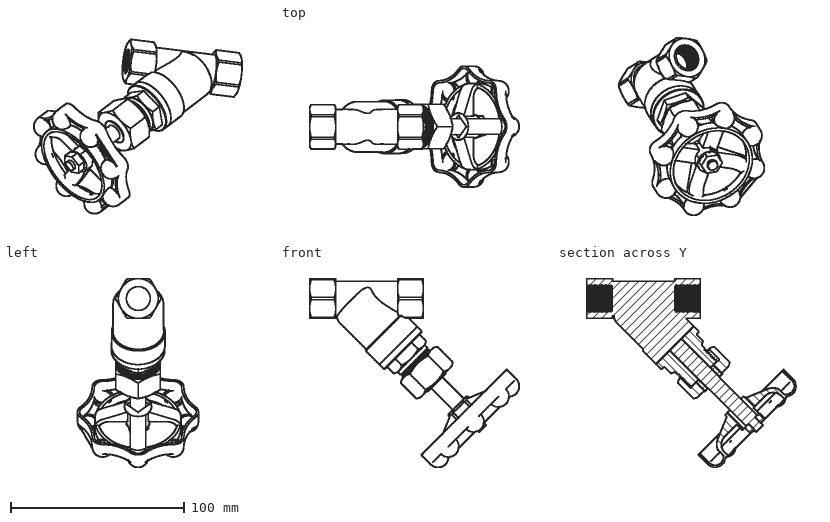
import cadquery as cq
import math

BRANCH_OFFSET = 6.3
STEM_OFFSET = 5.7
WHEEL_OFFSET = 6.7
SIDE_OFFSET = 0.18
HEX_CHAMFER_ANGLE = 30.0

PIPE_LENGTH = 65.8
PIPE_RADIUS = 10.0
END_HEX_LENGTH = 15.0
END_HEX_FLATS = 23.0
END_HEX_CORNER_FLAT = 1.3
PORT_CREST_RADIUS = 6.9
PORT_ROOT_RADIUS = 7.7
PORT_TURNS = 11
THREAD_PITCH = 1.3

CHAMBER_START = -5.7
CHAMBER_RADIUS = 14.7
CHAMBER_FILLET = 4.4
COLLAR_START = 20.6
COLLAR_STEP_LENGTH = 0.5
COLLAR_RADIUS = 15.5
COLLAR_END = 32.2

FLANGE_END = 36.3
FLANGE_CHAMFER = 0.4
BONNET_HEX_FLATS = 23.0
BONNET_HEX_END = 42.7
NECK_RADIUS = 11.0
NECK_ROOT_RADIUS = 10.2
NECK_THREAD_START = 45.2
NECK_TURNS = 8

GLAND_NUT_START = 47.3
GLAND_NUT_END = 62.5
GLAND_NUT_FLATS = 25.9
GLAND_NUT_MOUTH_CHAMFER = 0.6
GLAND_RADIUS = 7.3
GLAND_END = 63.1

STEM_RADIUS = 4.6
STEM_TIP_RADIUS = 2.9
STEM_TIP_END = 100.6

WASHER_START = 80.8
WASHER_THICKNESS = 1.6
WASHER_RADIUS = 7.9
WASHER_FILLET = 0.7
HUB_RADIUS = 6.9
HUB_END = 94.2

RIM_START = 86.2
RIM_END = 94.0
RIM_RADIUS = 35.0
RIM_WALL = 1.3
LOBE_COUNT = 8
LOBE_RADIUS = 6.0
VALLEY_RADIUS = 30.6

WEB_VALLEY = 5.5
WEB_THICKNESS = 0.5

RING_START = 92.4
RING_END = 98.8
RING_RADIUS = 25.0
RING_WALL = 1.9

SPOKE_COUNT = 4
SPOKE_WIDTH = 9.1
SPOKE_ROOT = 6.0
SPOKE_SHOULDER = 20.6
SPOKE_SHOULDER_AT = 87.7
SPOKE_SLOPE = 0.42
SPOKE_BOTTOM_AT = 89.6
SPOKE_BOTTOM_FILLET = 6.3

WHEEL_NUT_CORNERS = 12.8
WHEEL_NUT_END = 98.8
WHEEL_NUT_TURN = 47.5


def branch_location(offset, side=SIDE_OFFSET):
    """Place of a part built along Z that belongs on the branch, `offset` from the pipe centre."""
    shift = -offset * math.sqrt(0.5)
    return cq.Location(cq.Plane(origin=(shift, side, shift), xDir=(1, 0, 1), normal=(1, 0, -1)))


chamber_axis = branch_location(BRANCH_OFFSET, side=0)
bonnet_axis = branch_location(BRANCH_OFFSET)
stem_axis = branch_location(STEM_OFFSET)
wheel_axis = branch_location(WHEEL_OFFSET)
stem_shift_in_bonnet = BRANCH_OFFSET - STEM_OFFSET
stem_shift_in_wheel = WHEEL_OFFSET - STEM_OFFSET


def cylinder(radius, start, end):
    return cq.Workplane("XY", origin=(0, 0, start)).circle(radius).extrude(end - start)


def turned(points):
    """Solid of revolution about Z from (radius, height) points."""
    return cq.Workplane("XZ").polyline(points).close().revolve(360, (0, 0, 0), (0, 1, 0))


def thread_points(crest, root, start, turns):
    """Zigzag of V grooves along Z, one groove per turn, beginning and ending on the crest."""
    points = [(crest, start)]
    for turn in range(turns):
        points.append((root, start + (turn + 0.5) * THREAD_PITCH))
        points.append((crest, start + (turn + 1) * THREAD_PITCH))
    return points


def hexagon(flats, start, end, chamfer_start=True, chamfer_end=True):
    """Hexagonal prism with corners on X, its ends turned down to a cone that meets the flats."""
    inner = flats / 2
    outer = flats / math.sqrt(3) + 1.2
    drop = (outer - inner) * math.tan(math.radians(HEX_CHAMFER_ANGLE))
    prism = cq.Workplane("XY", origin=(0, 0, start)).polygon(6, 2 * flats / math.sqrt(3)).extrude(end - start)
    points = [(0, start)]
    points += [(inner, start), (outer, start + drop)] if chamfer_start else [(outer, start)]
    points += [(outer, end - drop), (inner, end)] if chamfer_end else [(outer, end)]
    points += [(0, end)]
    return prism.intersect(turned(points))


def end_hexagon(start, end):
    corner_depth = END_HEX_CORNER_FLAT / (2 * math.tan(math.radians(60)))
    corner_trim = 2 * END_HEX_FLATS / math.sqrt(3) - 2 * corner_depth
    trim = (
        cq.Workplane("XY", origin=(0, 0, start))
        .polygon(6, corner_trim, circumscribed=True)
        .extrude(end - start)
    )
    return hexagon(END_HEX_FLATS, start, end).intersect(trim)


def port(start):
    """Threaded blind bore to be cut, opening at `start` and running towards +Z."""
    depth = PORT_TURNS * THREAD_PITCH
    zigzag = thread_points(PORT_CREST_RADIUS, PORT_ROOT_RADIUS, start, PORT_TURNS)
    return turned([(0, start)] + zigzag + [(0, start + depth)])


def make_pipe():
    half = PIPE_LENGTH / 2
    pipe = cylinder(PIPE_RADIUS, -half, half)
    for turn in (0, 180):
        pipe = pipe.union(end_hexagon(-half, -half + END_HEX_LENGTH).rotate((0, 0, 0), (1, 0, 0), turn))
    return pipe


def make_ports():
    return [port(-PIPE_LENGTH / 2).rotate((0, 0, 0), (1, 0, 0), turn) for turn in (0, 180)]


def make_body():
    along_x = cq.Location(cq.Plane(origin=(0, 0, 0), xDir=(0, 1, 0), normal=(1, 0, 0)))
    chamber = cylinder(CHAMBER_RADIUS, CHAMBER_START, COLLAR_END).faces("<Z").edges().fillet(CHAMBER_FILLET)
    collar = turned([
        (0, COLLAR_START),
        (CHAMBER_RADIUS, COLLAR_START),
        (COLLAR_RADIUS, COLLAR_START + COLLAR_STEP_LENGTH),
        (COLLAR_RADIUS, COLLAR_END),
        (0, COLLAR_END),
    ])
    body = make_pipe().val().moved(along_x).fuse(chamber.union(collar).val().moved(chamber_axis))
    for bore in make_ports():
        body = body.cut(bore.val().moved(along_x))
    return body.Solids()[0]


neck_end = NECK_THREAD_START + NECK_TURNS * THREAD_PITCH


def make_bonnet():
    flange = cylinder(COLLAR_RADIUS, COLLAR_END, FLANGE_END).faces(">Z").edges().chamfer(FLANGE_CHAMFER)
    hex_part = hexagon(BONNET_HEX_FLATS, FLANGE_END, BONNET_HEX_END, chamfer_start=False)
    zigzag = thread_points(NECK_RADIUS, NECK_ROOT_RADIUS, NECK_THREAD_START, NECK_TURNS)
    neck = turned([(0, BONNET_HEX_END), (NECK_RADIUS, BONNET_HEX_END)] + zigzag + [(0, neck_end)])
    stem_hole = cylinder(STEM_RADIUS, COLLAR_END, neck_end).translate((stem_shift_in_bonnet, 0, 0))
    return flange.union(hex_part).union(neck).cut(stem_hole)


def make_gland():
    return cylinder(GLAND_RADIUS, neck_end, GLAND_END).cut(cylinder(STEM_RADIUS, neck_end, GLAND_END))


def make_gland_nut():
    hollow_radius = NECK_RADIUS + stem_shift_in_bonnet
    mouth_radius = hollow_radius + GLAND_NUT_MOUTH_CHAMFER
    hollow = turned([
        (0, GLAND_NUT_START),
        (mouth_radius, GLAND_NUT_START),
        (hollow_radius, GLAND_NUT_START + GLAND_NUT_MOUTH_CHAMFER),
        (hollow_radius, neck_end),
        (GLAND_RADIUS, neck_end),
        (GLAND_RADIUS, GLAND_NUT_END),
        (0, GLAND_NUT_END),
    ])
    return hexagon(GLAND_NUT_FLATS, GLAND_NUT_START, GLAND_NUT_END).cut(hollow)


def make_stem():
    shaft = cylinder(STEM_RADIUS, COLLAR_END, HUB_END)
    tip = cylinder(STEM_TIP_RADIUS, HUB_END, STEM_TIP_END)
    return shaft.union(tip)


lobe_centre = RIM_RADIUS - LOBE_RADIUS
lobe_pitch = 2 * math.pi / LOBE_COUNT
half_gap = lobe_centre * math.sin(lobe_pitch / 2)
lobe_rise = lobe_centre * math.cos(lobe_pitch / 2)
valley_step = VALLEY_RADIUS - lobe_rise
flank_radius = (half_gap**2 + valley_step**2 - LOBE_RADIUS**2) / (2 * (LOBE_RADIUS - valley_step))
flank_centre = VALLEY_RADIUS + flank_radius


def polar(radius, angle):
    return (radius * math.cos(angle), radius * math.sin(angle))


def lobed_disc(inset):
    """Prism with the lobed outline of the rim, moved inwards by `inset`."""
    share = (LOBE_RADIUS - inset) / (LOBE_RADIUS + flank_radius)
    centre_x, centre_y = polar(flank_centre, lobe_pitch / 2)
    joint_x = lobe_centre + share * (centre_x - lobe_centre)
    joint_y = share * centre_y
    joint_radius = math.hypot(joint_x, joint_y)
    joint_angle = math.atan2(joint_y, joint_x)

    outline = cq.Workplane("XY", origin=(0, 0, RIM_START)).moveTo(*polar(joint_radius, -joint_angle))
    for lobe in range(LOBE_COUNT):
        angle = lobe * lobe_pitch
        next_joint = angle + lobe_pitch - joint_angle
        outline = outline.threePointArc(
            polar(RIM_RADIUS - inset, angle), polar(joint_radius, angle + joint_angle)
        )
        outline = outline.threePointArc(
            polar(VALLEY_RADIUS - inset, angle + lobe_pitch / 2), polar(joint_radius, next_joint)
        )
    return outline.close().extrude(RIM_END - RIM_START)


def cup(lobe):
    """Hollow half ball that closes the far end of one lobe."""
    shell = cq.Workplane("XY").sphere(LOBE_RADIUS).cut(cq.Workplane("XY").sphere(LOBE_RADIUS - RIM_WALL))
    far_half = cylinder(2 * LOBE_RADIUS, 0, LOBE_RADIUS)
    x, y = polar(lobe_centre, lobe * lobe_pitch)
    return shell.intersect(far_half).translate((x, y, RIM_END))


def web():
    """Thin plate that fills one valley outside the rim, up to a straight edge touching both lobes."""
    straight_edge = lobe_rise + LOBE_RADIUS
    plate = (
        cq.Workplane("XY", origin=(0, 0, RIM_END - WEB_THICKNESS))
        .center((lobe_rise + straight_edge) / 2, 0)
        .rect(LOBE_RADIUS, 2 * half_gap)
        .extrude(WEB_THICKNESS)
        .rotate((0, 0, 0), (0, 0, 1), math.degrees(WEB_VALLEY * lobe_pitch))
    )
    return plate.cut(lobed_disc(RIM_WALL))


def spoke(index):
    inner_top = SPOKE_SHOULDER_AT - SPOKE_SLOPE * (SPOKE_SHOULDER - SPOKE_ROOT)
    ring_inside = RING_RADIUS - RING_WALL
    profile = (
        cq.Workplane("XZ", origin=(0, SPOKE_WIDTH / 2, 0))
        .moveTo(SPOKE_ROOT, inner_top)
        .lineTo(SPOKE_SHOULDER, SPOKE_SHOULDER_AT)
        .tangentArcPoint((RING_RADIUS, RING_START), relative=False)
        .lineTo(RING_RADIUS, SPOKE_BOTTOM_AT + SPOKE_BOTTOM_FILLET)
        .lineTo(ring_inside, SPOKE_BOTTOM_AT + SPOKE_BOTTOM_FILLET)
        .radiusArc((ring_inside - SPOKE_BOTTOM_FILLET, SPOKE_BOTTOM_AT), SPOKE_BOTTOM_FILLET)
        .lineTo(SPOKE_ROOT, SPOKE_BOTTOM_AT)
        .close()
    )
    within_ring = cylinder(RING_RADIUS, WASHER_START, RING_END)
    bar = profile.extrude(SPOKE_WIDTH).intersect(within_ring)
    return bar.rotate((0, 0, 0), (0, 0, 1), index * 360 / SPOKE_COUNT)


def make_handwheel():
    washer = cylinder(WASHER_RADIUS, WASHER_START, WASHER_START + WASHER_THICKNESS).edges().fillet(WASHER_FILLET)
    ring = cylinder(RING_RADIUS, RING_START, RING_END).cut(
        cylinder(RING_RADIUS - RING_WALL, RING_START, RING_END)
    )
    socket = (
        cq.Workplane("XY", origin=(0, 0, WASHER_START))
        .polygon(4, 2 * math.sqrt(2) * STEM_RADIUS)
        .extrude(HUB_END - WASHER_START)
        .translate((stem_shift_in_wheel, 0, 0))
    )
    wheel = ring.union(lobed_disc(0).cut(lobed_disc(RIM_WALL)))
    wheel = wheel.union(web())
    for lobe in range(LOBE_COUNT):
        wheel = wheel.union(cup(lobe))
    wheel = wheel.union(cylinder(HUB_RADIUS, WASHER_START + WASHER_THICKNESS / 2, HUB_END)).union(washer)
    for index in range(SPOKE_COUNT):
        wheel = wheel.union(spoke(index))
    return wheel.cut(socket)


def make_wheel_nut():
    blank = cq.Workplane("XY", origin=(0, 0, HUB_END)).polygon(6, WHEEL_NUT_CORNERS)
    nut = blank.extrude(WHEEL_NUT_END - HUB_END).rotate((0, 0, 0), (0, 0, 1), WHEEL_NUT_TURN)
    return nut.cut(cylinder(STEM_TIP_RADIUS, HUB_END, WHEEL_NUT_END))


body = make_body()
bonnet = make_bonnet().val().moved(bonnet_axis)
gland = make_gland().val().moved(stem_axis)
gland_nut = make_gland_nut().val().moved(stem_axis)
stem = make_stem().val().moved(stem_axis)
handwheel = make_handwheel().val().moved(wheel_axis)
wheel_nut = make_wheel_nut().val().moved(stem_axis)

result = cq.Compound.makeCompound([body, bonnet, gland, gland_nut, stem, handwheel, wheel_nut])